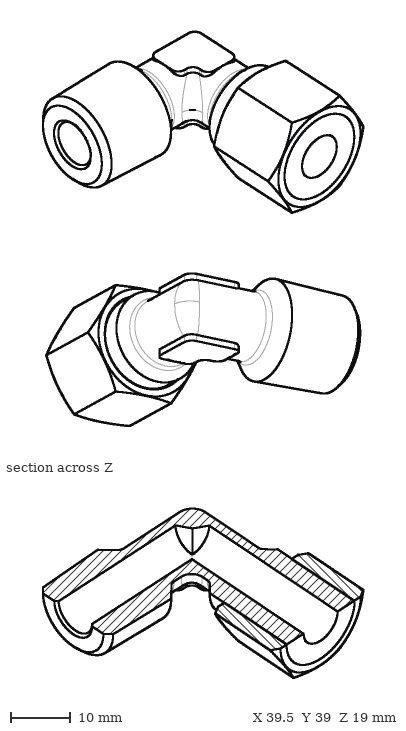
import cadquery as cq
import math


NECK_RADIUS = 6.0
OUTER_CORNER_RADIUS = 3.0
INNER_CORNER_RADIUS = 2.5
FLARE_FILLET = 1.4
FLARE_ANGLE = math.radians(45)

BORE_RADIUS = 4.0
DRILL_TIP_ANGLE = math.radians(120)
MOUTH_RADIUS = 4.5

PAD_HALF_WIDTH = 3.47
PAD_REACH = 7.03
PAD_CORNER_RADIUS = 1.5

MALE_NECK_END = 10.2
MALE_END = 28.0
MALE_BASE_RADIUS = 8.8
MALE_TIP_RADIUS = 8.4
MALE_FACE_RADIUS = 7.22
MALE_CHAMFER_LENGTH = 1.15

OVERALL_LENGTH = 39.48
NUT_ACROSS_FLATS = 19.0
NUT_LENGTH = 15.0
NUT_END = OVERALL_LENGTH - MALE_BASE_RADIUS
NUT_START = NUT_END - NUT_LENGTH
NUT_FACE_RADIUS = 9.45
NUT_CHAMFER_ANGLE = math.radians(30)
NUT_MOUTH_RADIUS = 8.2

SPIGOT_NECK_END = 9.67
SPIGOT_RADIUS = 8.0


def spin(outline):
    """Revolve a closed outline, drawn with X along the axis and Y as the radius, about the X axis."""
    return outline.close().revolve(360, (0, 0, 0), (1, 0, 0))


def along_male_leg(shape):
    """Turn a shape built along +X so that it runs along -Y."""
    return shape.rotate((0, 0, 0), (0, 0, 1), -90)


def flared_leg(neck_end, flare_radius, tip_points):
    """Solid leg along +X: neck, filleted flare, then the tip outline of (x, radius) points."""
    bend_x = neck_end + FLARE_FILLET * math.sin(FLARE_ANGLE)
    bend_radius = NECK_RADIUS + FLARE_FILLET * (1 - math.cos(FLARE_ANGLE))
    mid_x = neck_end + FLARE_FILLET * math.sin(FLARE_ANGLE / 2)
    mid_radius = NECK_RADIUS + FLARE_FILLET * (1 - math.cos(FLARE_ANGLE / 2))
    flare_x = bend_x + (flare_radius - bend_radius) / math.tan(FLARE_ANGLE)
    outline = (
        cq.Workplane("XY")
        .moveTo(-NECK_RADIUS, 0)
        .lineTo(-NECK_RADIUS, NECK_RADIUS)
        .lineTo(neck_end, NECK_RADIUS)
        .threePointArc((mid_x, mid_radius), (bend_x, bend_radius))
        .lineTo(flare_x, flare_radius)
    )
    for x, radius in tip_points:
        outline = outline.lineTo(x, radius)
    end_x = tip_points[-1][0]
    return spin(outline.lineTo(end_x, 0))


def miter_half(side):
    """Large prism on the +X +Y side (1) or the -X -Y side (-1) of the miter plane y = -x."""
    reach = 2 * OVERALL_LENGTH
    return (
        cq.Workplane("XY")
        .polyline([(-reach, reach), (reach, -reach), (side * reach, side * reach)])
        .close()
        .extrude(reach, both=True)
    )


def mitered_legs():
    spigot = flared_leg(SPIGOT_NECK_END, SPIGOT_RADIUS, [(NUT_END, SPIGOT_RADIUS)])
    male_tip = [
        (MALE_END - MALE_CHAMFER_LENGTH, MALE_TIP_RADIUS),
        (MALE_END, MALE_FACE_RADIUS),
    ]
    male = along_male_leg(flared_leg(MALE_NECK_END, MALE_BASE_RADIUS, male_tip))
    return spigot.intersect(miter_half(1)).union(male.intersect(miter_half(-1)))


def wrench_pads():
    """L-shaped block whose flats are level with the top and bottom of the neck."""
    block = (
        cq.Workplane("XY")
        .moveTo(-PAD_HALF_WIDTH, PAD_HALF_WIDTH)
        .lineTo(PAD_REACH, PAD_HALF_WIDTH)
        .lineTo(PAD_REACH, -PAD_HALF_WIDTH)
        .lineTo(PAD_HALF_WIDTH, -PAD_HALF_WIDTH)
        .lineTo(PAD_HALF_WIDTH, -PAD_REACH)
        .lineTo(-PAD_HALF_WIDTH, -PAD_REACH)
        .close()
        .extrude(NECK_RADIUS, both=True)
    )
    return block.edges("|Z").fillet(PAD_CORNER_RADIUS)


def round_corner(elbow, side, radius):
    """Fillet the miter edges on the outer (-1) or inner (1) side of the elbow's corner."""
    far = side * NECK_RADIUS
    corner_box = cq.selectors.BoxSelector((0, 0, -NECK_RADIUS), (far, -far, NECK_RADIUS))
    return elbow.edges("%ELLIPSE").edges(corner_box).fillet(radius)


def drilled_bore(length):
    """Round hole along +X whose conical drill tip starts at the origin."""
    tip_depth = BORE_RADIUS / math.tan(DRILL_TIP_ANGLE / 2)
    points = [(-tip_depth, 0), (0, BORE_RADIUS), (length, BORE_RADIUS), (length, 0)]
    return spin(cq.Workplane("XY").polyline(points))


def male_mouth():
    """45-degree countersink at the open end of the male leg."""
    inner_end = MALE_END - (MOUTH_RADIUS - BORE_RADIUS)
    points = [(inner_end, 0), (inner_end, BORE_RADIUS), (MALE_END, MOUTH_RADIUS), (MALE_END, 0)]
    return along_male_leg(spin(cq.Workplane("XY").polyline(points)))


def make_elbow():
    elbow = mitered_legs().union(wrench_pads())
    elbow = round_corner(elbow, -1, OUTER_CORNER_RADIUS)
    elbow = round_corner(elbow, 1, INNER_CORNER_RADIUS)
    spigot_bore = drilled_bore(NUT_END)
    male_bore = along_male_leg(drilled_bore(MALE_END))
    return elbow.cut(spigot_bore).cut(male_bore).cut(male_mouth())


def chamfered_hexagon():
    """Hexagonal prism along X with its corners turned off by a cone at both ends."""
    corner_radius = NUT_ACROSS_FLATS / 2 / math.cos(math.pi / 6)
    chamfer_length = (corner_radius - NUT_FACE_RADIUS) * math.tan(NUT_CHAMFER_ANGLE)
    hexagon = (
        cq.Workplane("YZ", origin=(NUT_START, 0, 0))
        .polygon(6, 2 * corner_radius)
        .extrude(NUT_LENGTH)
    )
    envelope_points = [
        (NUT_START, 0),
        (NUT_START, NUT_FACE_RADIUS),
        (NUT_START + chamfer_length, corner_radius),
        (NUT_END - chamfer_length, corner_radius),
        (NUT_END, NUT_FACE_RADIUS),
        (NUT_END, 0),
    ]
    return hexagon.intersect(spin(cq.Workplane("XY").polyline(envelope_points)))


def nut_hole():
    """Through hole that fits the spigot, with a 45-degree chamfer at the inner mouth."""
    mouth_depth = NUT_MOUTH_RADIUS - SPIGOT_RADIUS
    points = [
        (NUT_START, 0),
        (NUT_START, NUT_MOUTH_RADIUS),
        (NUT_START + mouth_depth, SPIGOT_RADIUS),
        (NUT_END, SPIGOT_RADIUS),
        (NUT_END, 0),
    ]
    return spin(cq.Workplane("XY").polyline(points))


def make_nut():
    return chamfered_hexagon().cut(nut_hole())


elbow = make_elbow()
nut = make_nut()
result = cq.Compound.makeCompound([elbow.solids().val(), nut.solids().val()])